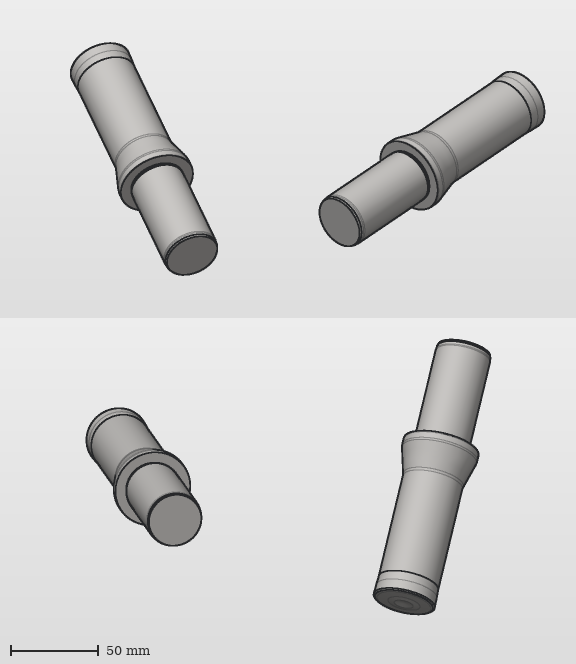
import cadquery as cq

total_length = 159.0

dimple_radius = 5.5
dimple_depth = 0.8
tip_ring_radius = 9.4
face_radius = 15.7
tip_ring_setback = 0.5
face_setback = 0.8
head_radius = 18.0
head_edge_start = 1.1
head_edge_end = 1.9
head_edge_start_radius = 17.0
back_taper_start = 7.8
back_taper_start_radius = 17.8
head_length = 13.0

body_radius = 17.5
cone_start = 77.1
cone_fillet = 6.4
collar_radius = 22.02
collar_start = 94.1
collar_fillet = 4.8
collar_end = 98.9
collar_chamfer = 0.6
collar_chamfer_depth = 0.2

relief_radius = 15.7
shank_radius = 15.98
neck_length = 1.3
shank_taper = 0.5
shank_end = 155.3
end_taper = 0.8
end_chamfer = 1.3
end_chamfer_depth = 0.5


def revolve_about_x(profile):
    """Turn a closed X-radius profile into a solid of revolution about X."""
    return profile.close().revolve(360, (0, 0, 0), (1, 0, 0))


def make_head():
    """Cutting head with a slight land relief, a back taper and a conical centre dimple."""
    return revolve_about_x(
        cq.Workplane("XY")
        .moveTo(dimple_depth, 0)
        .lineTo(0, dimple_radius)
        .lineTo(tip_ring_setback, tip_ring_radius)
        .lineTo(face_setback, face_radius)
        .lineTo(head_edge_start, head_edge_start_radius)
        .lineTo(head_edge_end, head_radius)
        .lineTo(back_taper_start, back_taper_start_radius)
        .lineTo(head_length, body_radius)
        .lineTo(head_length, 0)
    )


def make_holder():
    """Cylindrical body, conical collar and relieved shank turned as one piece."""
    neck_end = collar_end + neck_length
    holder = revolve_about_x(
        cq.Workplane("XY")
        .moveTo(head_length, 0)
        .lineTo(head_length, body_radius)
        .lineTo(cone_start, body_radius)
        .lineTo(collar_start, collar_radius)
        .lineTo(collar_end - collar_chamfer, collar_radius)
        .lineTo(collar_end, collar_radius - collar_chamfer_depth)
        .lineTo(collar_end, relief_radius)
        .lineTo(neck_end, relief_radius)
        .lineTo(neck_end + shank_taper, shank_radius)
        .lineTo(shank_end, shank_radius)
        .lineTo(shank_end + end_taper, relief_radius)
        .lineTo(total_length - end_chamfer, relief_radius)
        .lineTo(total_length, relief_radius - end_chamfer_depth)
        .lineTo(total_length, 0)
    )
    return round_cone_edges(holder)


def round_cone_edges(holder):
    """Blend the cone into the body and into the collar rim."""
    for position, radius in ((cone_start, cone_fillet), (collar_start, collar_fillet)):
        margin = 0.2
        slab = cq.selectors.BoxSelector(
            (position - margin, -collar_radius * 2, -collar_radius * 2),
            (position + margin, collar_radius * 2, collar_radius * 2),
        )
        holder = holder.edges("%CIRCLE").edges(slab).fillet(radius)
    return holder


head = make_head()
holder = make_holder()

result = cq.Compound.makeCompound([head.val(), holder.val()])